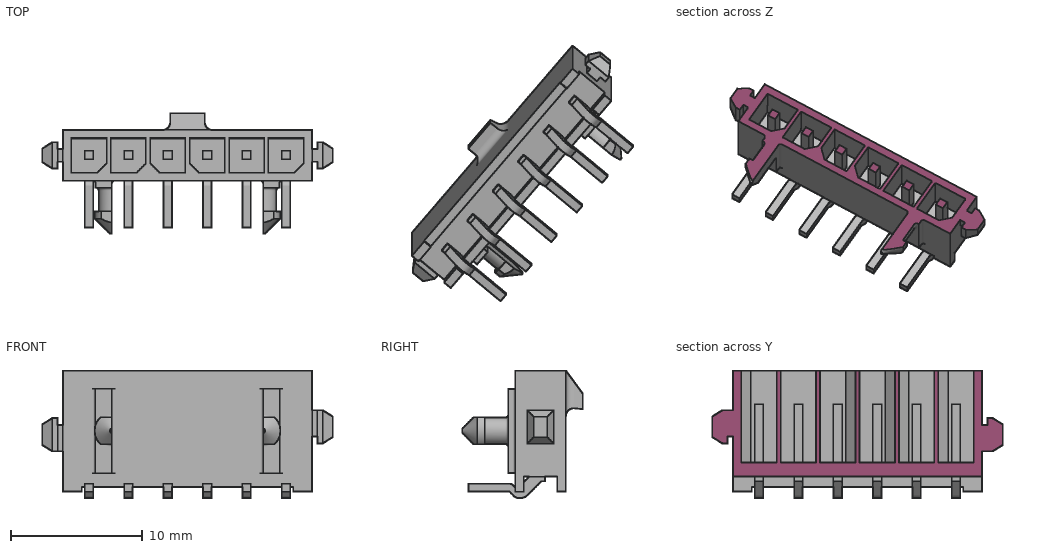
import cadquery as cq
import math

overall_length = 22.15
overall_depth = 9.19

housing_length = 19.0
housing_depth = 3.87
housing_height = 9.2
mid_y = housing_depth / 2

wall_thickness = 0.66
channel_height = 1.13
relief_length = 16.07
relief_height = 0.33

contact_span = 15.0
cavity_size = 2.68
cavity_floor = 2.21
cavity_draft = 0.07
key_chamfer = 0.73
key_sides = [1, 1, -1, -1, 0, 1]
pitch = contact_span / (len(key_sides) - 1)
pin_size = 0.66
pin_setback = 0.02
pin_tip = 6.65
pin_heel = 0.77
pin_heel_length = 0.29
pin_lowest = -0.5
leg_thickness = 0.6
leg_end = -3.56
leg_bend_top = -0.27
leg_bend_bottom = -0.45
slant_offset = 0.07
slant_bend_radius = 0.77
rise_bend_radius = 0.55
leg_bend_radius = 0.33

clip_stem_length = 0.4
clip_rim_length = 0.4
clip_length = (overall_length - housing_length) / 2
clip_stem_width = 1.0
clip_stem_height = 2.01
clip_head_width = 2.01
clip_head_height = 2.55
clip_taper = 0.49
clip_stem_base = {-1: 3.05, 1: 4.18}
clip_hook = clip_head_height - clip_stem_height

rib_width = 1.26
rib_depth = 0.53
rib_fillet = 0.2
rib_bottom = 1.4
rib_height = 6.42
rib_inner_x = 5.75

peg_z = 4.63
peg_radius = 1.02
peg_fillet = 0.2
peg_head_radius = 1.33
peg_head_flat = 1.05
peg_head_start = 2.32
peg_cone_start = 2.88
peg_length = 4.03
peg_tip_radius = 0.25
peg_tip_bevel = 0.09

latch_width = 2.63
latch_depth = overall_depth - peg_length - housing_depth
latch_tip_top = 7.46
latch_tip_bottom = 6.27
latch_underside = 6.33
latch_fillet = 0.6


def box(x_range, y_range, z_range):
    size = [high - low for low, high in (x_range, y_range, z_range)]
    return cq.Workplane("XY").box(*size, centered=False).translate((x_range[0], y_range[0], z_range[0]))


def arc_bulge(radius):
    """Distance from either tangent wall to the middle of a quarter-circle fillet."""
    return radius * (1 - math.sqrt(0.5))


def make_housing():
    half = housing_length / 2
    body = box((-half, half), (0, housing_depth), (0, housing_height))
    channel = box((-half, half), (wall_thickness, housing_depth - wall_thickness), (0, channel_height))
    relief = box((-relief_length / 2, relief_length / 2), (0, housing_depth), (0, relief_height))
    return body.cut(channel).cut(relief)


def make_cavity(x, key_side):
    cavity = (
        cq.Workplane("XY", origin=(x, mid_y, cavity_floor))
        .rect(cavity_size, cavity_size)
        .extrude(housing_height - cavity_floor)
    )
    if key_side:
        corner = ">X and <Y" if key_side > 0 else "<X and <Y"
        cavity = cavity.edges("|Z").edges(corner).chamfer(key_chamfer)
    back_y = mid_y + cavity_size / 2
    back_lean = (
        cq.Workplane("YZ", origin=(x, 0, 0))
        .polyline([(back_y, cavity_floor), (back_y, housing_height), (back_y - cavity_draft, cavity_floor)])
        .close()
        .extrude(cavity_size / 2, both=True)
    )
    return cavity.cut(back_lean)


def make_pin(x):
    """Square pin: upright in the cavity, slanting under the front wall, then a level leg."""
    back = mid_y + pin_setback + pin_size / 2
    front = back - pin_size
    heel_front = back - pin_heel_length
    slant_bottom_y = heel_front - (pin_heel - pin_lowest)
    rise_bottom_y = leg_bend_bottom - pin_lowest
    notch_y = (leg_bend_top + leg_thickness - slant_offset) / 2
    outline = [
        (back, pin_tip),
        (back, pin_heel),
        (heel_front, pin_heel),
        (slant_bottom_y, pin_lowest),
        (rise_bottom_y, pin_lowest),
        (leg_bend_bottom, 0),
        (leg_end, 0),
        (leg_end, leg_thickness),
        (leg_bend_top, leg_thickness),
        (notch_y, notch_y + slant_offset),
        (channel_height - slant_offset, channel_height),
        (front, channel_height),
        (front, pin_tip),
    ]
    pin = (
        cq.Workplane("YZ", origin=(x - pin_size / 2, 0, 0))
        .polyline(outline)
        .close()
        .extrude(pin_size)
    )
    bends = [
        (slant_bottom_y, pin_lowest, slant_bend_radius),
        (rise_bottom_y, pin_lowest, rise_bend_radius),
        (leg_bend_top, leg_thickness, leg_bend_radius),
    ]
    for bend_y, bend_z, radius in bends:
        bend_edge = cq.selectors.NearestToPointSelector((x, bend_y, bend_z))
        pin = pin.edges("|X").edges(bend_edge).fillet(radius)
    return pin


def make_clip(side):
    """Hooked clip: the head overhangs the stem upward at -X and downward at +X."""
    face_x = housing_length / 2
    rim_x = face_x + clip_stem_length
    taper_x = rim_x + clip_rim_length
    stem_base = clip_stem_base[side]
    head_base = stem_base if side < 0 else stem_base - clip_hook
    half_stem = clip_stem_width / 2
    stem = box(
        (face_x, rim_x),
        (mid_y - half_stem, mid_y + half_stem),
        (stem_base, stem_base + clip_stem_height),
    )
    half_head = clip_head_width / 2
    rim = box(
        (rim_x, taper_x),
        (mid_y - half_head, mid_y + half_head),
        (head_base, head_base + clip_head_height),
    )
    nose = (
        cq.Workplane("YZ", origin=(taper_x, mid_y, head_base + clip_head_height / 2))
        .rect(clip_head_width, clip_head_height)
        .workplane(offset=face_x + clip_length - taper_x)
        .rect(clip_head_width - 2 * clip_taper, clip_head_height - 2 * clip_taper)
        .loft(ruled=True)
    )
    clip = stem.union(rim).union(nose)
    return clip if side > 0 else clip.mirror("YZ")


def make_rib():
    """Rib at +X with concave fillets down its two long sides."""
    outer_x = rib_inner_x + rib_width
    bulge = arc_bulge(rib_fillet)
    return (
        cq.Workplane("XY", origin=(0, 0, rib_bottom))
        .moveTo(rib_inner_x - rib_fillet, 0)
        .threePointArc((rib_inner_x - bulge, -bulge), (rib_inner_x, -rib_fillet))
        .lineTo(rib_inner_x, -rib_depth)
        .lineTo(outer_x, -rib_depth)
        .lineTo(outer_x, -rib_fillet)
        .threePointArc((outer_x + bulge, -bulge), (outer_x + rib_fillet, 0))
        .close()
        .extrude(rib_height)
    )


def make_peg():
    """Half-round peg at +X, flat towards the middle, its head trimmed to the stem's height."""
    fillet_radius = peg_radius + peg_fillet
    bulge = arc_bulge(peg_fillet)
    peg = (
        cq.Workplane("XY", origin=(rib_inner_x, 0, peg_z))
        .moveTo(0, -rib_depth)
        .lineTo(fillet_radius, -rib_depth)
        .threePointArc((peg_radius + bulge, -rib_depth - bulge), (peg_radius, -rib_depth - peg_fillet))
        .lineTo(peg_radius, -peg_head_start)
        .lineTo(peg_head_radius, -peg_head_start)
        .lineTo(peg_head_radius, -peg_cone_start)
        .lineTo(peg_tip_radius, -peg_length + peg_tip_bevel)
        .lineTo(peg_tip_radius - peg_tip_bevel, -peg_length)
        .lineTo(0, -peg_length)
        .close()
        .revolve(360, (0, 0, 0), (0, 1, 0))
    )
    x_range = (rib_inner_x, rib_inner_x + peg_head_radius)
    stem_space = box(
        x_range,
        (-peg_head_start, -rib_depth),
        (peg_z - fillet_radius, peg_z + fillet_radius),
    )
    head_space = box(
        x_range,
        (-peg_length, -peg_head_start),
        (peg_z - peg_head_flat, peg_z + peg_head_flat),
    )
    return peg.intersect(stem_space.union(head_space))


def make_latch():
    """Ramp sloping out from the top edge, flared by fillets where it meets the back face."""
    back = housing_depth
    tip = back + latch_depth
    half = latch_width / 2
    bulge = arc_bulge(latch_fillet)
    plan = (
        cq.Workplane("XY")
        .moveTo(-half - latch_fillet, back)
        .threePointArc((-half - bulge, back + bulge), (-half, back + latch_fillet))
        .lineTo(-half, tip)
        .lineTo(half, tip)
        .lineTo(half, back + latch_fillet)
        .threePointArc((half + bulge, back + bulge), (half + latch_fillet, back))
        .close()
        .extrude(housing_height)
    )
    side = (
        cq.Workplane("YZ")
        .moveTo(back, housing_height)
        .lineTo(tip, latch_tip_top)
        .lineTo(tip, latch_tip_bottom)
        .lineTo(back + latch_fillet, latch_underside)
        .threePointArc((back + bulge, latch_underside - bulge), (back, latch_underside - latch_fillet))
        .close()
        .extrude(half + latch_fillet, both=True)
    )
    return plan.intersect(side)


result = make_housing()
for index, key_side in enumerate(key_sides):
    contact_x = index * pitch - contact_span / 2
    result = result.cut(make_cavity(contact_x, key_side))
    result = result.union(make_pin(contact_x))

front_mount = make_rib().union(make_peg())
result = result.union(front_mount).union(front_mount.mirror("YZ"))

for side in (-1, 1):
    result = result.union(make_clip(side))

result = result.union(make_latch())